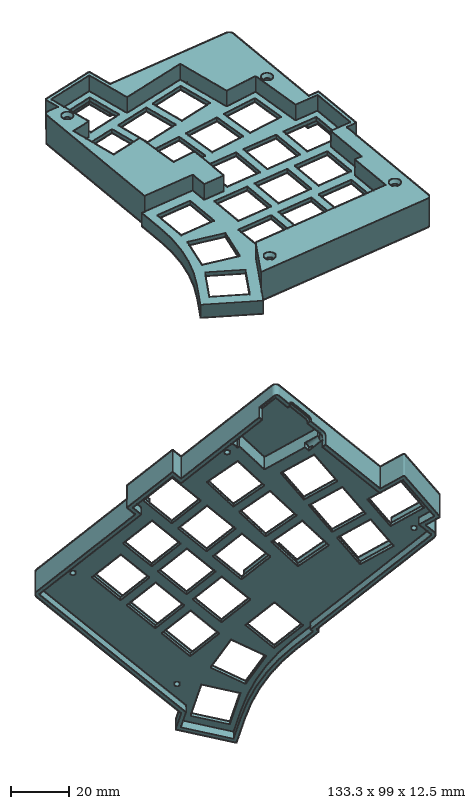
import cadquery as cq
import math

total_height = 12.5
plate_top = 5.7
plate_bottom = 4.0
wall = 1.5

key_hole = 14.0
column_pitch = 18.0
row_pitch = 17.0
cell_half_width = 9.6
cell_half_height = 9.5
rows = (-1, 0, 1)
column_gap_reach = 4.0

ring_column = (-37.7, -25.5, 10)
tilted_column = (-19.5, -10.1, 4)
middle_column = (0, 0, 0)
index_column = (column_pitch, -8.4, 0)
inner_column = (2 * column_pitch, -11.3, 0)
columns = (ring_column, tilted_column, middle_column, index_column, inner_column)

outer_key_drop = 9.3
outer_corner_radius = 0.4

thumb_keys = 3
thumb_x = 12.9
thumb_y = -46.0
thumb_radius = 77.0
thumb_step = 15
thumb_margin_x = 11.2
thumb_margin_y = 10.5

body_left = -56.7
body_right = 60.3
body_back = 23.8
body_front = -55.4
body_corner_radius = 1.7

screw_positions = ((-28.2, 18.6), (46.2, 18.6), (54.6, -40.7), (-50.8, -49.8))
screw_bore = 2.0
screw_head = 4.3
screw_sink_depth = 1.3

opening_length = 24.4
opening_top = 6.5
opening_corner_radius = 1.2
back_opening_depth = 8.0

pocket_top = total_height - wall
pocket_wall = 2.0
boss_radius = 4.0

usb_start = 7.0
usb_width = 10.2
usb_top = 8.7
usb_corner_radius = 1.3
usb_bevel = 0.4
usb_bevel_angle = 45


def rotated_offset(x, y, angle):
    """Turn the vector (x, y) counterclockwise by an angle in degrees."""
    turn = math.radians(angle)
    return (x * math.cos(turn) - y * math.sin(turn), x * math.sin(turn) + y * math.cos(turn))


def tilted_block(center, half_width, half_height, angle, bottom, top):
    outline = cq.Workplane("XY").rect(2 * half_width, 2 * half_height)
    block = outline.extrude(top - bottom)
    return block.rotate((0, 0, 0), (0, 0, 1), angle).translate((center[0], center[1], bottom))


def thumb_frame(index):
    """Centre and tilt of a thumb key, counted from the left."""
    tilt = -thumb_step * index
    dx, dy = rotated_offset(0, thumb_radius, tilt)
    return (thumb_x + dx, thumb_y - thumb_radius + dy), tilt


def thumb_point(index, x, y):
    center, tilt = thumb_frame(index)
    dx, dy = rotated_offset(x, y, tilt)
    return (center[0] + dx, center[1] + dy)


def outer_key_center():
    dx, dy = rotated_offset(-column_pitch, -outer_key_drop, ring_column[2])
    return (ring_column[0] + dx, ring_column[1] + dy)


def column_block(column, grow, bottom, top):
    half_height = row_pitch + cell_half_height + grow
    return tilted_block(column[:2], cell_half_width + grow, half_height, column[2], bottom, top)


def column_gap_block(column, bottom, top):
    """Fills the wedge between the upper rows of a tilted column and its right neighbour."""
    top_edge = row_pitch + cell_half_height
    bottom_edge = -row_pitch / 2
    half_height = (top_edge - bottom_edge) / 2
    dx, dy = rotated_offset(cell_half_width, top_edge - half_height, column[2])
    center = (column[0] + dx, column[1] + dy)
    return tilted_block(center, column_gap_reach, half_height, column[2], bottom, top)


def outer_key_block(grow, bottom, top):
    half_width = cell_half_width + grow
    half_height = cell_half_height + grow
    return tilted_block(outer_key_center(), half_width, half_height, ring_column[2], bottom, top)


def thumb_block(inset, bottom, top):
    """Thumb plate: straight ends joined by an arc along the front edge."""
    last = thumb_keys - 1
    reach_x = thumb_margin_x - inset
    reach_y = thumb_margin_y - inset
    left = thumb_x - reach_x
    right = inner_column[0] + cell_half_width
    back = index_column[1] - row_pitch - cell_half_height
    far_back = thumb_point(last, reach_x, reach_x)
    edge_back_y = far_back[1] + (far_back[0] - right) * math.tan(math.radians(last * thumb_step))
    outline = (
        cq.Workplane("XY").workplane(offset=bottom)
        .moveTo(left, back)
        .lineTo(left, thumb_y - reach_y)
        .lineTo(thumb_x, thumb_y - reach_y)
        .threePointArc(thumb_point(last / 2, 0, -reach_y), thumb_point(last, 0, -reach_y))
        .lineTo(*thumb_point(last, reach_x, -reach_y))
        .lineTo(*far_back)
        .lineTo(right, edge_back_y)
        .lineTo(right, back)
        .close()
    )
    return outline.extrude(top - bottom)


def body_block(inset, bottom, top):
    width = body_right - body_left - 2 * inset
    depth = body_back - body_front - 2 * inset
    center = ((body_left + body_right) / 2, (body_back + body_front) / 2, bottom)
    block = cq.Workplane("XY").rect(width, depth).extrude(top - bottom)
    return block.edges("|Z").fillet(body_corner_radius - inset).translate(center)


def build_case():
    """Raised body, with the outer key, the middle column and the thumb plate standing out of it."""
    case = body_block(0, 0, total_height)
    case = case.union(column_block(middle_column, wall, 0, total_height))
    case = case.union(outer_key_block(wall, 0, total_height).edges("|Z").fillet(outer_corner_radius))
    for column in columns:
        case = case.cut(column_block(column, 0, plate_top, total_height))
    for column in (ring_column, tilted_column):
        case = case.cut(column_gap_block(column, plate_top, total_height))
    case = case.cut(outer_key_block(0, plate_top, total_height))
    case = case.cut(thumb_block(0, plate_top, total_height))
    return case.union(thumb_block(0, 0, plate_top))


def underside_cavity():
    cavity = body_block(wall, 0, plate_bottom)
    cavity = cavity.union(column_block(middle_column, 0, 0, plate_bottom))
    cavity = cavity.union(outer_key_block(0, 0, plate_bottom))
    return cavity.union(thumb_block(wall, 0, plate_bottom))


def key_frames():
    frames = [(outer_key_center(), ring_column[2])]
    for x, y, tilt in columns:
        for row in rows:
            dx, dy = rotated_offset(0, row * row_pitch, tilt)
            frames.append(((x + dx, y + dy), tilt))
    return frames + [thumb_frame(index) for index in range(thumb_keys)]


def screw_holes():
    sink_taper = math.degrees(math.atan((screw_head - screw_bore) / 2 / screw_sink_depth))
    bores = cq.Workplane("XY").pushPoints(screw_positions).circle(screw_bore / 2).extrude(total_height)
    sinks = (
        cq.Workplane("XY").workplane(offset=total_height)
        .pushPoints(screw_positions)
        .circle(screw_head / 2)
        .extrude(-screw_sink_depth, taper=sink_taper)
    )
    return bores.union(sinks)


def side_opening():
    opening = cq.Workplane("XY").box(back_opening_depth, opening_length, opening_top, centered=False)
    opening = opening.edges("|X and >Z").fillet(opening_corner_radius)
    return opening.translate((body_left, body_back - opening_length, 0))


def controller_pocket():
    """Hollow under the raised corner, kept clear of the key openings and the screw boss."""
    screw_x, screw_y = screw_positions[0]
    left = body_left + wall
    back = body_back - wall
    front = body_back - opening_length
    pocket = (
        cq.Workplane("XY").workplane(offset=plate_bottom)
        .moveTo(left, front)
        .lineTo(screw_x, front)
        .lineTo(screw_x, back)
        .lineTo(left, back)
        .close()
        .extrude(pocket_top - plate_bottom)
    )
    for column in (ring_column, tilted_column):
        pocket = pocket.cut(column_block(column, pocket_wall, 0, total_height))
    boss = cq.Workplane("XY").center(screw_x, screw_y).circle(boss_radius).extrude(total_height)
    return pocket.cut(boss)


def usb_profile(inset):
    """Rounded rectangle on the left side of the body, drawn smaller by the inset."""
    middle_y = body_back - usb_start - usb_width / 2
    return (
        cq.Workplane("YZ", origin=(body_left, middle_y, usb_top / 2))
        .sketch()
        .rect(usb_width - 2 * inset, usb_top - 2 * inset)
        .vertices().fillet(usb_corner_radius - inset)
        .finalize()
    )


def usb_clearance():
    mouth = usb_profile(0).extrude(usb_bevel, taper=usb_bevel_angle)
    return mouth.union(usb_profile(usb_bevel).extrude(2 * wall))


case = build_case().cut(underside_cavity())
for key_center, key_tilt in key_frames():
    case = case.cut(tilted_block(key_center, key_hole / 2, key_hole / 2, key_tilt, 0, plate_top))
result = case.cut(screw_holes())
for cutter in (side_opening(), controller_pocket(), usb_clearance()):
    result = result.cut(cutter)